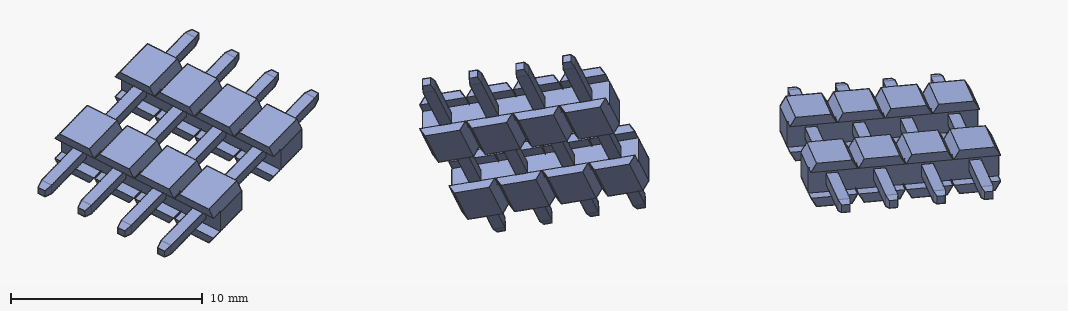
import cadquery as cq

pin_count = 4
pin_length = 14.0
row_width = 10.16
pitch = row_width / pin_count
housing_height = 2.53
housing_depth = 2.53
pin_end_length = 3.0

pin_side = 0.65
tip_side = 0.45
tip_length = 0.46

bevel_width = 0.32
bevel_height = 0.56
lip_thickness = 0.52
lip_overhang = 0.62

half_pitch = pitch / 2
half_height = housing_height / 2
pin_positions = [(i - (pin_count - 1) / 2) * pitch for i in range(pin_count)]
housing_fronts = [
    -pin_length / 2 + pin_end_length,
    pin_length / 2 - pin_end_length - housing_depth,
]


def extrude_along_y(sketch_points, front, depth):
    """Extrude an XZ outline from y = front towards +Y."""
    plane = cq.Workplane("XZ", origin=(0, front, 0))
    return plane.polyline(sketch_points).close().extrude(-depth)


def make_housing_cell(x, front):
    """Octagonal block around one pin, beveled on its four long edges."""
    shoulder_z = half_height - bevel_height
    crown_x = half_pitch - bevel_width
    outline = [
        (x - half_pitch, -shoulder_z),
        (x - crown_x, -half_height),
        (x + crown_x, -half_height),
        (x + half_pitch, -shoulder_z),
        (x + half_pitch, shoulder_z),
        (x + crown_x, half_height),
        (x - crown_x, half_height),
        (x - half_pitch, shoulder_z),
    ]
    return extrude_along_y(outline, front, housing_depth)


def make_housing(front):
    """Row of cells with a recess across the -Y face, leaving two lips."""
    housing = make_housing_cell(pin_positions[0], front)
    for x in pin_positions[1:]:
        housing = housing.union(make_housing_cell(x, front))
    recess = (
        cq.Workplane("XY")
        .box(row_width, lip_overhang, housing_height - 2 * lip_thickness)
        .translate((0, front + lip_overhang / 2, 0))
    )
    return housing.cut(recess)


def make_pin(x):
    """Square pin along Y with a tapered tip at each end."""
    shank_length = pin_length - 2 * tip_length
    pin = cq.Workplane("XY").box(pin_side, shank_length, pin_side)
    front_tip = (
        cq.Workplane("XZ", origin=(0, -shank_length / 2, 0))
        .rect(pin_side, pin_side)
        .workplane(offset=tip_length)
        .rect(tip_side, tip_side)
        .loft(ruled=True)
    )
    back_tip = front_tip.mirror("XZ")
    return pin.union(front_tip).union(back_tip).translate((x, 0, 0))


result = make_housing(housing_fronts[0]).union(make_housing(housing_fronts[1]))
for pin_x in pin_positions:
    result = result.union(make_pin(pin_x))